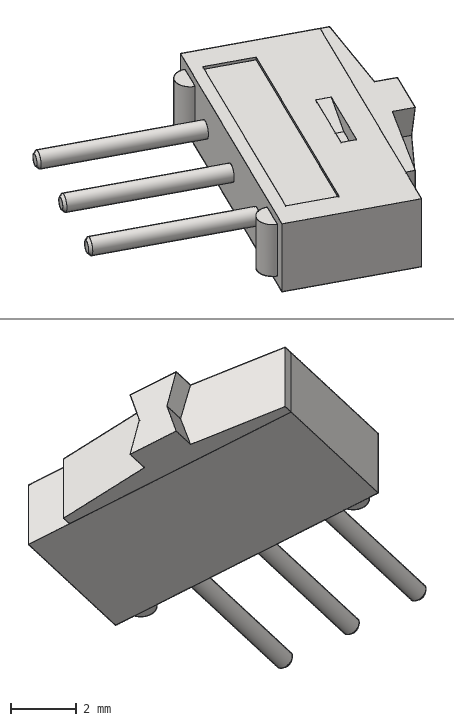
import cadquery as cq


total_length = 11.4
thickness = 2.5

housing_width = 10.0
housing_depth = 4.5

pin_diameter = 0.6
pin_pitch = 2.54
pin_count = 3
pin_length = 5.5
pin_chamfer = 0.1

rib_radius = 0.5
rib_length = 1.9
rib_inset = 0.96

window_width = 2.5
window_height = 0.5
window_inset = 0.87
window_depth = 0.5
ramp_width = 1.23

label_width = 8.16
label_height = 1.72
label_inset = 0.42
label_depth = 0.1

slider_width = 8.44
slider_edge_height = 0.31
slider_slope_height = 0.66
knob_width = 1.75
knob_notch = 0.35

half_thickness = thickness / 2
slider_height = total_length - housing_depth - pin_length


def make_block():
    """Rectangular housing block standing on the pin face."""
    return cq.Workplane("XY").box(
        housing_width, housing_depth, thickness, centered=(True, False, True)
    )


def make_pin(x):
    """Round pin pointing along -Y, chamfered at its tip."""
    return (
        cq.Workplane("XZ")
        .center(x, 0)
        .circle(pin_diameter / 2)
        .extrude(pin_length)
        .faces("<Y")
        .chamfer(pin_chamfer)
    )


def make_rib(x):
    """Half-round standoff rib running along Z below the pin face."""
    return (
        cq.Workplane("XY", origin=(x, 0, -rib_length / 2))
        .moveTo(-rib_radius, 0)
        .threePointArc((0, -rib_radius), (rib_radius, 0))
        .close()
        .extrude(rib_length)
    )


def make_window_cut():
    """Window pocket: a ramp falling from its -X end, then a flat floor."""
    left = -window_width / 2
    right = window_width / 2
    floor = half_thickness - window_depth
    upper_wall = housing_depth - window_inset
    return (
        cq.Workplane("XZ", origin=(0, upper_wall, 0))
        .polyline(
            [
                (left, half_thickness),
                (left + ramp_width, floor),
                (right, floor),
                (right, half_thickness),
            ]
        )
        .close()
        .extrude(window_height)
    )


def make_label_cut():
    """Shallow rectangular recess for the label."""
    return cq.Workplane("XY", origin=(0, label_inset, half_thickness - label_depth)).box(
        label_width, label_height, label_depth, centered=(True, False, False)
    )


def make_housing():
    """Housing with its ribs and pins as one solid."""
    housing = make_block().cut(make_window_cut()).cut(make_label_cut())
    rib_x = housing_width / 2 - rib_inset
    for x in (-rib_x, rib_x):
        housing = housing.union(make_rib(x))
    for index in range(pin_count):
        x = (index - (pin_count - 1) / 2) * pin_pitch
        housing = housing.union(make_pin(x))
    return housing


def make_shoulders():
    """Slider base whose slopes rise to the middle and continue up to the foot of the knob notches."""
    half_width = slider_width / 2
    half_knob = knob_width / 2
    slope = (slider_slope_height - slider_edge_height) / (half_width - half_knob)
    half_waist = half_knob - knob_notch
    waist_height = slider_slope_height + slope * knob_notch
    return (
        cq.Workplane("XY", origin=(0, 0, -half_thickness))
        .polyline(
            [
                (-half_width, 0),
                (half_width, 0),
                (half_width, slider_edge_height),
                (half_waist, waist_height),
                (-half_waist, waist_height),
                (-half_width, slider_edge_height),
            ]
        )
        .close()
        .extrude(thickness)
    )


def make_knob():
    """Finger knob, waisted by a V notch on each side that is deepest at mid thickness."""
    half_knob = knob_width / 2
    half_waist = half_knob - knob_notch
    return (
        cq.Workplane("XZ")
        .polyline(
            [
                (-half_knob, -half_thickness),
                (half_knob, -half_thickness),
                (half_waist, 0),
                (half_knob, half_thickness),
                (-half_knob, half_thickness),
                (-half_waist, 0),
            ]
        )
        .close()
        .extrude(-slider_height)
    )


def make_slider():
    """Slider resting on the housing, flush with its -X side."""
    slider_x = (slider_width - housing_width) / 2
    return make_shoulders().union(make_knob()).translate((slider_x, housing_depth, 0))


housing = make_housing()
slider = make_slider()

result = cq.Compound.makeCompound([housing.val(), slider.val()])